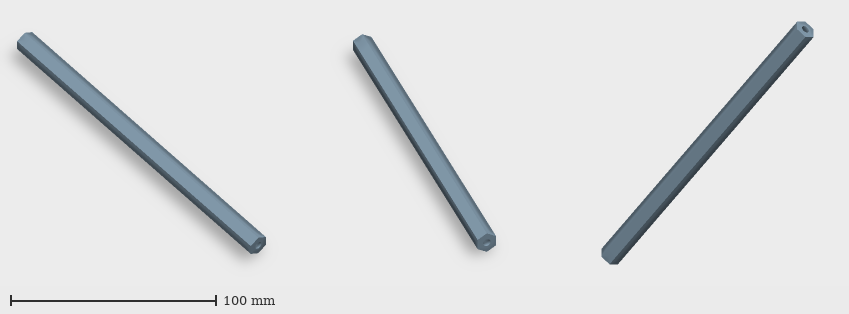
import cadquery as cq
import math

length = 177.8
across_corners = 11.0

hole_diameter = 4.0
hole_depth = 17.8
drill_point_angle = 118.0
hole_radius = hole_diameter / 2
point_depth = hole_radius / math.tan(math.radians(drill_point_angle / 2))


def hexagonal_bar():
    bar = cq.Workplane("YZ").polygon(6, across_corners).extrude(length / 2, both=True)
    return bar.rotate((0, 0, 0), (1, 0, 0), 30)


def end_hole(side):
    mouth = side * length / 2
    shoulder = mouth - side * hole_depth
    tip = shoulder - side * point_depth
    section = (
        cq.Workplane("XY")
        .moveTo(mouth, 0)
        .lineTo(mouth, hole_radius)
        .lineTo(shoulder, hole_radius)
        .lineTo(tip, 0)
        .close()
    )
    return section.revolve(360, (0, 0, 0), (1, 0, 0))


result = hexagonal_bar()
for side in (-1, 1):
    result = result.cut(end_hole(side))